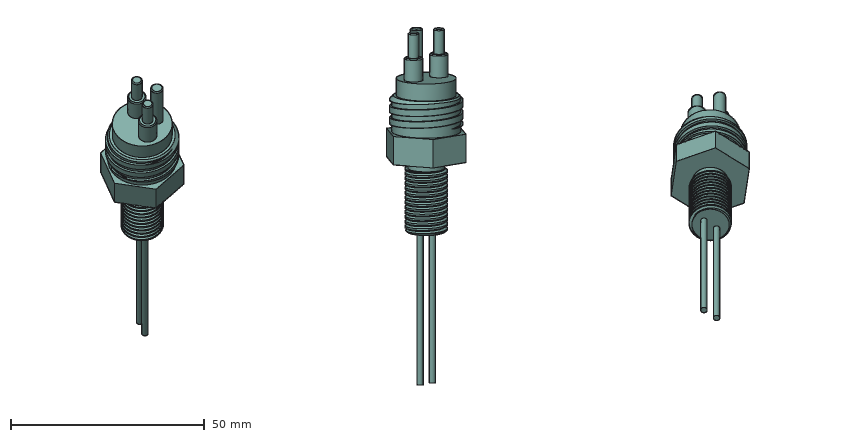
import math

import cadquery as cq

WIRE_LENGTH = 40.0
STUD_THREAD_LENGTH = 16.75
STUD_NECK_LENGTH = 2.25
HEX_HEIGHT = 7.5
BODY_LENGTH = 9.5
COLLAR_LENGTH = 4.5
SLEEVE_LENGTH = 6.0
PIN_TIP_Z = 93.0

STUD_BOTTOM_Z = WIRE_LENGTH
STUD_THREAD_TOP_Z = STUD_BOTTOM_Z + STUD_THREAD_LENGTH
HEX_BOTTOM_Z = STUD_THREAD_TOP_Z + STUD_NECK_LENGTH
HEX_TOP_Z = HEX_BOTTOM_Z + HEX_HEIGHT
BODY_TOP_Z = HEX_TOP_Z + BODY_LENGTH
COLLAR_TOP_Z = BODY_TOP_Z + COLLAR_LENGTH

WIRE_DIAMETER = 1.7
WIRE_OFFSET_X = 2.05

STUD_NECK_DIAMETER = 9.5
STUD_THREAD_DIAMETER = 11.0
STUD_THREAD_PITCH = 1.27
STUD_CHAMFER = 0.6
STUD_RIDGE_ROOT_WIDTH = STUD_THREAD_PITCH * 0.95
STUD_RIDGE_CREST_WIDTH = STUD_THREAD_PITCH * 0.35
STUD_RIDGE_PHASE = 0.9

HEX_ACROSS_FLATS = 19.0

BODY_DIAMETER = 17.9
BODY_CHAMFER = 0.45
BODY_THREAD_DIAMETER = 19.0
BODY_THREAD_PITCH = 3.1
BODY_RIDGE_ROOT_WIDTH = 1.8
BODY_RIDGE_CREST_WIDTH = 1.7
BODY_THREAD_BOTTOM_Z = 68.3
BODY_RIDGE_PHASE_Z = 68.1

COLLAR_DIAMETER = 15.5

SMALL_PIN_DIAMETER = 2.8
SLEEVE_DIAMETER = 4.8
SMALL_PIN_OFFSET_X = 4.25
LARGE_PIN_DIAMETER = 3.2
LARGE_PIN_OFFSET_Y = 4.0
TIP_CHAMFER = 0.3

RADIAL_OVERLAP = 0.05
OVERRUN_TURNS = 2


def cylinder(diameter, bottom_z, top_z, x=0.0, y=0.0):
    """Upright cylinder between two heights."""
    disc = cq.Workplane("XY", origin=(x, y, bottom_z)).circle(diameter / 2)
    return disc.extrude(top_z - bottom_z)


def thread_ridge(root_diameter, root_width, crest_diameter, crest_width, pitch, phase_z, length):
    """Right-handed trapezoidal ridge, centred on phase_z where its lowest turn crosses the +X side.

    The ridge is longer than the thread at both ends and has to be trimmed.
    The flanks continue a little below the root, so that the ridge is buried in its core.
    """
    start_z = phase_z - pitch
    turns = math.ceil(length / pitch) + OVERRUN_TURNS
    crest_radius = crest_diameter / 2
    flank_slope = (root_width - crest_width) / (crest_diameter - root_diameter)
    buried_radius = root_diameter / 2 - RADIAL_OVERLAP
    half_buried = root_width / 2 + flank_slope * RADIAL_OVERLAP
    half_crest = crest_width / 2
    profile = cq.Workplane("XZ").polyline([
        (buried_radius, start_z - half_buried),
        (crest_radius, start_z - half_crest),
        (crest_radius, start_z + half_crest),
        (buried_radius, start_z + half_buried),
    ]).close()
    helix = cq.Wire.makeHelix(pitch, pitch * turns, buried_radius, center=cq.Vector(0, 0, start_z))
    return profile.sweep(cq.Workplane(obj=helix), isFrenet=True)


def make_stud():
    """Threaded stud and the plain neck that joins it to the hexagon."""
    core = cylinder(STUD_NECK_DIAMETER, STUD_BOTTOM_Z, HEX_BOTTOM_Z)
    ridge = thread_ridge(
        STUD_NECK_DIAMETER,
        STUD_RIDGE_ROOT_WIDTH,
        STUD_THREAD_DIAMETER,
        STUD_RIDGE_CREST_WIDTH,
        STUD_THREAD_PITCH,
        STUD_BOTTOM_Z + STUD_RIDGE_PHASE,
        STUD_THREAD_LENGTH,
    )
    envelope = cylinder(STUD_THREAD_DIAMETER + 2 * RADIAL_OVERLAP, STUD_BOTTOM_Z, STUD_THREAD_TOP_Z)
    envelope = envelope.faces("<Z").chamfer(STUD_CHAMFER + RADIAL_OVERLAP)
    return core.union(ridge.intersect(envelope))


def make_hexagon():
    """Wrench hexagon with corners on the X axis."""
    across_corners = HEX_ACROSS_FLATS / math.cos(math.pi / 6)
    return cq.Workplane("XY", origin=(0, 0, HEX_BOTTOM_Z)).polygon(6, across_corners).extrude(HEX_HEIGHT)


def make_body():
    """Round body with a raised thread, topped by a plain collar."""
    body = cylinder(BODY_DIAMETER, HEX_TOP_Z, BODY_TOP_Z)
    ridge = thread_ridge(
        BODY_DIAMETER,
        BODY_RIDGE_ROOT_WIDTH,
        BODY_THREAD_DIAMETER,
        BODY_RIDGE_CREST_WIDTH,
        BODY_THREAD_PITCH,
        BODY_RIDGE_PHASE_Z,
        BODY_TOP_Z - BODY_THREAD_BOTTOM_Z,
    )
    blank_diameter = BODY_THREAD_DIAMETER + 2 * RADIAL_OVERLAP
    ridge = ridge.intersect(cylinder(blank_diameter, BODY_THREAD_BOTTOM_Z, BODY_TOP_Z))

    bevel = BODY_CHAMFER + (blank_diameter - BODY_DIAMETER) / 2
    blank = cylinder(blank_diameter, HEX_TOP_Z, BODY_TOP_Z)
    trimming = blank.cut(blank.faces(">Z").chamfer(bevel))
    collar = cylinder(COLLAR_DIAMETER, BODY_TOP_Z, COLLAR_TOP_Z)
    return body.union(ridge).cut(trimming).union(collar)


def make_pin(diameter, x, y):
    """Contact pin with a bevelled tip."""
    return cylinder(diameter, COLLAR_TOP_Z, PIN_TIP_Z, x, y).faces(">Z").chamfer(TIP_CHAMFER)


def make_sleeved_pin(x):
    """Small contact pin standing in a bevelled insulating sleeve."""
    sleeve = cylinder(SLEEVE_DIAMETER, COLLAR_TOP_Z, COLLAR_TOP_Z + SLEEVE_LENGTH, x)
    sleeve = sleeve.faces(">Z").chamfer(TIP_CHAMFER)
    return sleeve.union(make_pin(SMALL_PIN_DIAMETER, x, 0))


result = make_stud().union(make_hexagon()).union(make_body())
result = result.union(make_pin(LARGE_PIN_DIAMETER, 0, LARGE_PIN_OFFSET_Y))
for side in (-1, 1):
    result = result.union(cylinder(WIRE_DIAMETER, 0, STUD_BOTTOM_Z, side * WIRE_OFFSET_X))
    result = result.union(make_sleeved_pin(side * SMALL_PIN_OFFSET_X))